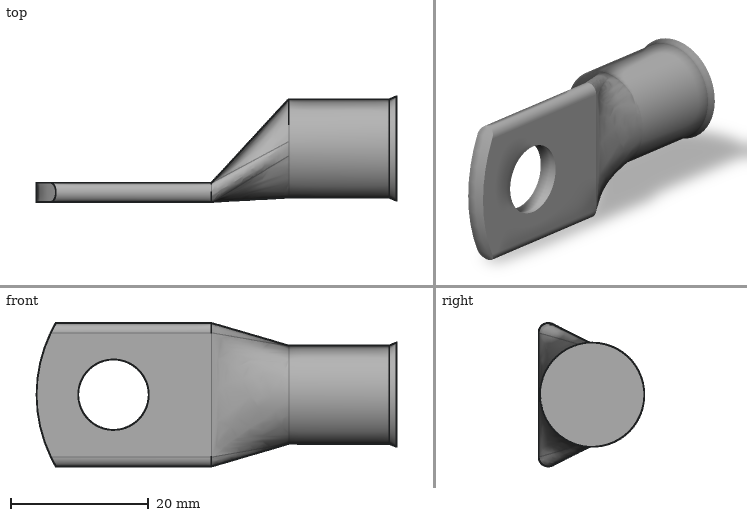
import cadquery as cq
import math

TOTAL_LENGTH = 52.25

PALM_WIDTH = 20.85
PALM_THICKNESS = 2.8
PALM_LENGTH = 25.4
TIP_RISE = 2.8
HOLE_DIAMETER = 10.2
HOLE_X = 11.2

BARREL_START = 36.6
BARREL_DIAMETER = 14.3
BARREL_AXIS_Y = 7.8
SIDE_STRIP_WIDTH = 2.1

FLARE_LENGTH = 1.05
FLARE_DIAMETER = 15.15

half_width = PALM_WIDTH / 2
edge_radius = PALM_THICKNESS / 2
barrel_radius = BARREL_DIAMETER / 2
flare_start = TOTAL_LENGTH - FLARE_LENGTH


def palm_section(x):
    """Wire of the palm cross-section: two flats joined by full rounds."""
    flat_end = half_width - edge_radius
    return (
        cq.Workplane("YZ", origin=(x, 0, 0))
        .moveTo(0, -flat_end)
        .lineTo(0, flat_end)
        .threePointArc((edge_radius, half_width), (PALM_THICKNESS, flat_end))
        .lineTo(PALM_THICKNESS, -flat_end)
        .threePointArc((edge_radius, -half_width), (0, -flat_end))
        .close()
        .val()
    )


def barrel_section(x):
    """Circle split into four arcs that match the edges of the palm section."""
    strip_y = SIDE_STRIP_WIDTH / 2
    strip_z = math.sqrt(barrel_radius**2 - strip_y**2)
    return (
        cq.Workplane("YZ", origin=(x, BARREL_AXIS_Y, 0))
        .moveTo(-strip_y, -strip_z)
        .threePointArc((-barrel_radius, 0), (-strip_y, strip_z))
        .threePointArc((0, barrel_radius), (strip_y, strip_z))
        .threePointArc((barrel_radius, 0), (strip_y, -strip_z))
        .threePointArc((0, -barrel_radius), (-strip_y, -strip_z))
        .close()
        .val()
    )


def extrude_along_x(wire, length):
    return cq.Workplane(cq.Solid.extrudeLinear(wire, [], cq.Vector(length, 0, 0)))


def make_palm():
    bar = extrude_along_x(palm_section(0), PALM_LENGTH)
    outline = (
        cq.Workplane("XZ")
        .moveTo(TIP_RISE, -half_width)
        .threePointArc((0, 0), (TIP_RISE, half_width))
        .lineTo(PALM_LENGTH, half_width)
        .lineTo(PALM_LENGTH, -half_width)
        .close()
        .extrude(-PALM_THICKNESS)
    )
    hole = (
        cq.Workplane("XZ")
        .center(HOLE_X, 0)
        .circle(HOLE_DIAMETER / 2)
        .extrude(-PALM_THICKNESS)
    )
    return bar.intersect(outline).cut(hole)


def make_transition():
    sections = [palm_section(PALM_LENGTH), barrel_section(BARREL_START)]
    return cq.Workplane(cq.Solid.makeLoft(sections, True))


def make_barrel():
    return extrude_along_x(barrel_section(BARREL_START), flare_start - BARREL_START)


def make_flare():
    cone = cq.Solid.makeCone(
        barrel_radius,
        FLARE_DIAMETER / 2,
        FLARE_LENGTH,
        pnt=cq.Vector(flare_start, BARREL_AXIS_Y, 0),
        dir=cq.Vector(1, 0, 0),
    )
    return cq.Workplane(cone)


result = make_palm().union(make_transition()).union(make_barrel()).union(make_flare())